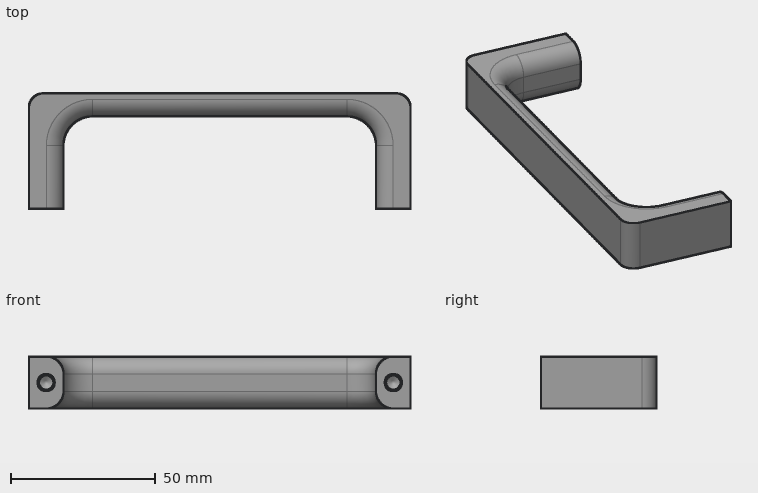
import cadquery as cq
import math

length = 132.0
depth = 40.0
height = 18.0

leg_width = 12.0
bar_thickness = 8.0
outer_corner_radius = 5.0
inner_corner_radius = 10.0
grip_radius = 6.0

hole_diameter = 5.0
hole_depth = 12.0
mouth_diameter = 6.0
drill_point_angle = 118.0
hole_spacing = length - leg_width


def handle_body():
    """U-shaped handle with the legs pointing to -Y and a rounded grip side."""
    body = cq.Workplane("XY").box(length, depth, height, centered=(True, False, True))
    body = body.edges("|Z and >Y").fillet(outer_corner_radius)

    opening_depth = depth - bar_thickness
    opening = cq.Workplane("XY").box(
        length - 2 * leg_width, opening_depth, height, centered=(True, False, True)
    )
    opening = opening.edges("|Z and >Y").fillet(inner_corner_radius)
    body = body.cut(opening)

    nearest_to = cq.selectors.NearestToPointSelector
    for z in (-height / 2, height / 2):
        body = body.edges(nearest_to((0, opening_depth, z))).fillet(grip_radius)
    return body


def mounting_hole(x):
    """Drilled hole along +Y from the leg end: chamfered mouth, bore and conical bottom."""
    radius = hole_diameter / 2
    mouth_radius = mouth_diameter / 2
    mouth_chamfer = mouth_radius - radius
    point_length = radius / math.tan(math.radians(drill_point_angle / 2))
    half_section = (
        cq.Workplane("XY")
        .polyline([
            (0, 0),
            (mouth_radius, 0),
            (radius, mouth_chamfer),
            (radius, hole_depth),
            (0, hole_depth + point_length),
        ])
        .close()
    )
    return half_section.revolve(axisStart=(0, 0, 0), axisEnd=(0, 1, 0)).translate((x, 0, 0))


result = handle_body()
for hole_x in (-hole_spacing / 2, hole_spacing / 2):
    result = result.cut(mounting_hole(hole_x))